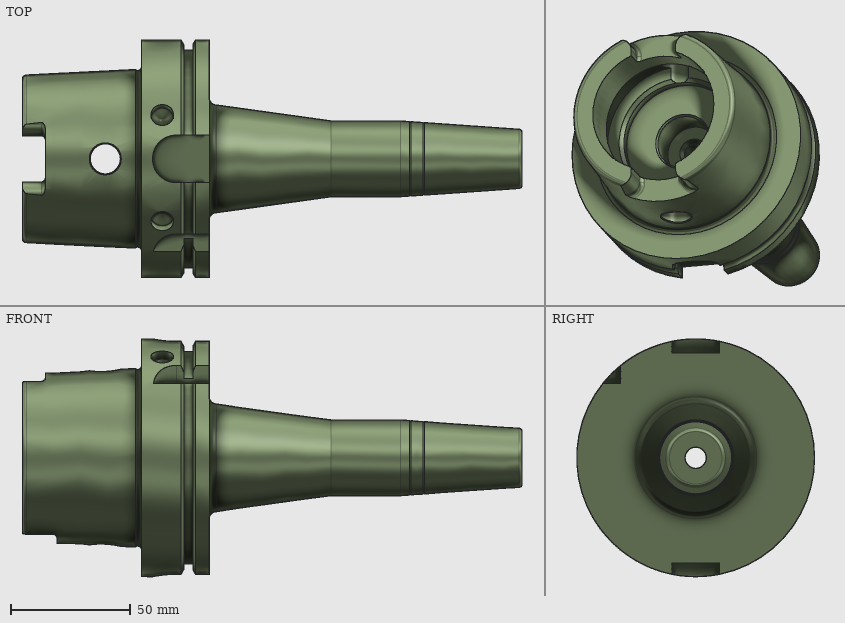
import cadquery as cq
import math


total_length = 210.0
flange_start = 50.0
flange_end = 78.5
neck_end = 129.8
straight_end = 159.0

taper_large_dia = 75.4
taper_ratio = 0.1
taper_small_dia = taper_large_dia - taper_ratio * flange_start
taper_front_round = 1.9
relief_start = 47.5
relief_floor_start = 48.0
relief_floor_end = 48.7
relief_dia = 74.3
relief_rim_dia = 79.0
relief_fillet = 1.7

flange_dia = 100.0
grip_groove_left = 67.8
grip_groove_right = 71.6
grip_groove_dia = 91.5
flank_depth = 2.0
flank_angle = 30.0
flank_run = flank_depth * math.tan(math.radians(flank_angle))

neck_start_x = 81.5
neck_start_dia = 45.4
neck_fillet = 3.0
shank_dia = 32.0
tip_dia = 24.8
tip_round = 1.5
ring_positions = (163.0, 168.6)
ring_width = 0.6
ring_depth = 0.2

mouth_dia = 53.0
mouth_depth = 20.4
cavity_dia = 63.0
cavity_end = 40.0
seat_dia = 49.4
seat_chamfer_end = 41.0
floor_x = 45.2
tube_mouth_dia = 24.0
tube_dia = 22.5
tube_end = 61.0
cone_large_dia = 12.0
coolant_dia = 8.8

slot_width = 19.3
slot_depth_top = 9.7
slot_depth_bottom = 14.5
slot_shoulder_z = 32.1
slot_shoulder_round = 5.0
slot_floor_fillet = 1.7

cross_hole_dia = 12.5
cross_hole_x = 34.9
cross_hole_chamfer = 0.5

key_width = 20.0
key_center_x = 64.7
key_floor_z = 44.0
notch_y = -31.5
notch_z = 31.3

data_hole_dia = 9.5
data_hole_x = 58.8
data_hole_depth = 4.2
drill_point_angle = 118.0
data_hole_angles = (21.7, -31.7)


def revolve_about_axis(profile):
    return profile.close().revolve(360, (0, 0, 0), (1, 0, 0))


def outer_body():
    large_r = taper_large_dia / 2
    flange_r = flange_dia / 2
    flank_r = flange_r - flank_depth
    groove_r = grip_groove_dia / 2
    relief_r = relief_dia / 2
    neck_r = neck_start_dia / 2
    shank_r = shank_dia / 2
    tip_r = tip_dia / 2

    profile = (
        cq.Workplane("XY")
        .lineTo(0, taper_small_dia / 2)
        .lineTo(relief_start, large_r - taper_ratio / 2 * (flange_start - relief_start))
        .lineTo(relief_floor_start, relief_r)
        .lineTo(relief_floor_end, relief_r)
        .radiusArc((flange_start, relief_rim_dia / 2), -relief_fillet)
        .lineTo(flange_start, flange_r)
        .lineTo(grip_groove_left - flank_run, flange_r)
        .lineTo(grip_groove_left, flank_r)
        .lineTo(grip_groove_left, groove_r)
        .lineTo(grip_groove_right, groove_r)
        .lineTo(grip_groove_right, flank_r)
        .lineTo(grip_groove_right + flank_run, flange_r)
        .lineTo(flange_end, flange_r)
        .lineTo(flange_end, neck_r + neck_fillet)
        .radiusArc((neck_start_x, neck_r), -neck_fillet)
        .lineTo(neck_end, shank_r)
        .lineTo(straight_end, shank_r)
        .lineTo(total_length, tip_r)
        .lineTo(total_length, 0)
    )
    body = revolve_about_axis(profile)
    body = body.faces("<X").edges().fillet(taper_front_round)
    return body.faces(">X").edges().fillet(tip_round)


def ring_cut(start, end, inner_r, outer_r):
    ring = cq.Workplane("YZ").workplane(offset=start).circle(outer_r).circle(inner_r)
    return ring.extrude(end - start)


def cut_shank_rings(body):
    slope = (shank_dia - tip_dia) / 2 / (total_length - straight_end)
    for x in ring_positions:
        inner_r = shank_dia / 2 - slope * (x - straight_end) - ring_depth
        body = body.cut(ring_cut(x - ring_width / 2, x + ring_width / 2, inner_r, shank_dia))
    return body


def axial_bore():
    mouth_r = mouth_dia / 2
    cavity_r = cavity_dia / 2
    tube_chamfer_end = floor_x + (tube_mouth_dia - tube_dia) / 2
    cone_end = tube_end + (cone_large_dia - coolant_dia) / 2
    profile = (
        cq.Workplane("XY")
        .lineTo(0, mouth_r)
        .lineTo(mouth_depth, mouth_r)
        .lineTo(mouth_depth, cavity_r)
        .lineTo(cavity_end, cavity_r)
        .lineTo(cavity_end, mouth_r)
        .lineTo(seat_chamfer_end, seat_dia / 2)
        .lineTo(floor_x, seat_dia / 2)
        .lineTo(floor_x, tube_mouth_dia / 2)
        .lineTo(tube_chamfer_end, tube_dia / 2)
        .lineTo(tube_end, tube_dia / 2)
        .lineTo(tube_end, cone_large_dia / 2)
        .lineTo(cone_end, coolant_dia / 2)
        .lineTo(total_length, coolant_dia / 2)
        .lineTo(total_length, 0)
    )
    return revolve_about_axis(profile)


def drive_slot(depth):
    """Slot on the +Z side whose walls flare out over rounded shoulders."""
    half = slot_width / 2
    flare_y = half + slot_shoulder_round
    flare_z = slot_shoulder_z - slot_shoulder_round
    outside = taper_large_dia / 2
    slot = (
        cq.Workplane("YZ")
        .moveTo(-half, 0)
        .lineTo(-half, flare_z)
        .radiusArc((-flare_y, slot_shoulder_z), -slot_shoulder_round)
        .lineTo(-outside, slot_shoulder_z)
        .lineTo(-outside, outside)
        .lineTo(outside, outside)
        .lineTo(outside, slot_shoulder_z)
        .lineTo(flare_y, slot_shoulder_z)
        .radiusArc((half, flare_z), -slot_shoulder_round)
        .lineTo(half, 0)
        .close()
        .extrude(depth)
    )
    return slot.faces(">X").edges("not <Z").fillet(slot_floor_fillet)


def drill_cross_hole(body):
    """Drill right through both walls of the taper and chamfer the two outer rims."""
    drill = cq.Workplane("XY").center(cross_hole_x, 0).circle(cross_hole_dia / 2)
    body = body.cut(drill.extrude(taper_large_dia, both=True))
    reach = cross_hole_dia
    wall_middle = (cavity_dia / 2 + taper_small_dia / 2) / 2
    for low_z, high_z in ((wall_middle, taper_large_dia), (-taper_large_dia, -wall_middle)):
        near_rim = cq.selectors.BoxSelector(
            (cross_hole_x - reach, -reach, low_z), (cross_hole_x + reach, reach, high_z)
        )
        body = body.edges(near_rim).edges("not %LINE").chamfer(cross_hole_chamfer)
    return body


def round_ended_slot(center_y, floor_z):
    """Slot milled down to floor_z, rounded toward the taper and open through the flange face."""
    height = flange_dia / 2
    length = flange_end - key_center_x
    base = cq.Workplane("XY").workplane(offset=floor_z)
    round_end = base.center(key_center_x, center_y).circle(key_width / 2).extrude(height)
    straight = (
        base.center(key_center_x + length / 2, center_y).rect(length, key_width).extrude(height)
    )
    return round_end.union(straight)


def data_hole(angle):
    """Radial hole with a drill point at its bottom."""
    hole_r = data_hole_dia / 2
    top = flange_dia / 2
    bottom = top - data_hole_depth
    point = bottom - hole_r / math.tan(math.radians(drill_point_angle / 2))
    hole = (
        cq.Workplane("XZ", origin=(data_hole_x, 0, 0))
        .moveTo(0, point)
        .lineTo(hole_r, bottom)
        .lineTo(hole_r, top)
        .lineTo(0, top)
        .close()
        .revolve(360, (0, 0, 0), (0, 1, 0))
    )
    return hole.rotate((0, 0, 0), (1, 0, 0), -angle)


def turn_half(shape):
    return shape.rotate((0, 0, 0), (1, 0, 0), 180)


result = cut_shank_rings(outer_body())
result = result.cut(axial_bore())

result = result.cut(drive_slot(slot_depth_top))
result = result.cut(turn_half(drive_slot(slot_depth_bottom)))
result = drill_cross_hole(result)

key_slot = round_ended_slot(0, key_floor_z)
result = result.cut(key_slot).cut(turn_half(key_slot))
result = result.cut(round_ended_slot(notch_y - key_width / 2, notch_z))
for hole_angle in data_hole_angles:
    result = result.cut(data_hole(hole_angle))